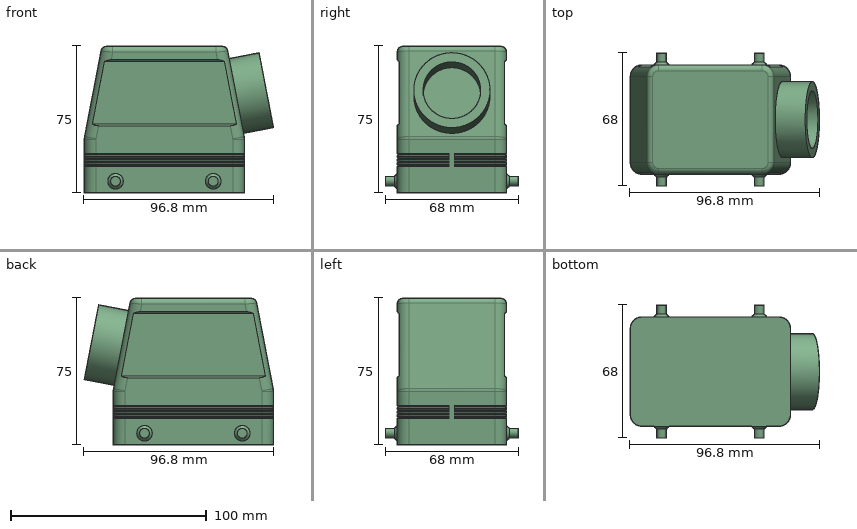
import cadquery as cq
import math

TOTAL_LENGTH = 96.8
HOOD_LENGTH = 82.0
HOOD_WIDTH = 55.9
HOOD_HEIGHT = 75.0
BREAK_HEIGHT = 28.1
END_WALL_LEAN = 10.9
CORNER_RADIUS = 6.0
BREAK_RADIUS = 8.0
TOP_RADIUS = 3.0

RECESS_BOTTOM = 34.35
RECESS_TOP = 68.1
RECESS_DEPTH = 1.0

GROOVE_COUNT = 4
GROOVE_PITCH = 1.8
GROOVE_WIDTH = 1.2
GROOVE_DEPTH = 0.5
TOP_GROOVE_HEIGHT = 19.5
GROOVE_GAP = 2.7

PIN_SPAN = 68.0
PIN_SPACING = 49.9
PIN_HEIGHT = 6.0
PIN_DIAMETER = 5.0
FOOT_DIAMETER = 7.9
FOOT_LENGTH = 1.45

OUTLET_DIAMETER = 39.0
BORE_DIAMETER = 29.4
OUTLET_FACE_HEIGHT = 52.5

LEAN = math.radians(END_WALL_LEAN)
SIDE_SIGNS = (-1, 1)


def wall_x(height):
    """X of the leaning +X wall at a height above the break line."""
    return HOOD_LENGTH / 2 - (height - BREAK_HEIGHT) * math.tan(LEAN)


def make_hood():
    base_x = HOOD_LENGTH / 2
    top_x = wall_x(HOOD_HEIGHT)
    profile = [
        (-base_x, 0),
        (base_x, 0),
        (base_x, BREAK_HEIGHT),
        (top_x, HOOD_HEIGHT),
        (-top_x, HOOD_HEIGHT),
        (-base_x, BREAK_HEIGHT),
    ]
    hood = cq.Workplane("XZ").polyline(profile).close().extrude(HOOD_WIDTH / 2, both=True)
    hood = hood.edges("|Y").edges("not (<Z or >Z)").fillet(BREAK_RADIUS)
    hood = hood.faces("<Y or >Y").edges("not |X").fillet(CORNER_RADIUS)
    return hood.faces(">Z").edges().fillet(TOP_RADIUS)


def make_recess(side):
    """Cutter for the recess on the -Y (side -1) or +Y (side 1) face."""
    outer_y = side * HOOD_WIDTH / 2
    inner_y = side * (HOOD_WIDTH / 2 - RECESS_DEPTH)
    profile = [
        (outer_y, RECESS_BOTTOM),
        (inner_y, RECESS_BOTTOM + RECESS_DEPTH),
        (inner_y, RECESS_TOP - RECESS_DEPTH),
        (outer_y, RECESS_TOP),
    ]
    return cq.Workplane("YZ").polyline(profile).close().extrude(HOOD_LENGTH / 2, both=True)


def base_outline(height):
    outline = cq.Sketch().rect(HOOD_LENGTH, HOOD_WIDTH).vertices().fillet(CORNER_RADIUS)
    return cq.Workplane("XY", origin=(0, 0, height)).placeSketch(outline)


def make_groove(height):
    """Ring cutter with a V section, centred at a height; it stops at the end-wall gaps."""
    half_width = GROOVE_WIDTH / 2
    flank_angle = math.degrees(math.atan2(GROOVE_DEPTH, half_width))
    ring = base_outline(height - half_width).extrude(GROOVE_WIDTH)
    core_below = base_outline(height - half_width).extrude(half_width, taper=flank_angle)
    core_above = core_below.mirror("XY", (0, 0, height))
    gap = cq.Workplane("XY", origin=(0, 0, height)).box(HOOD_LENGTH, GROOVE_GAP, GROOVE_WIDTH)
    return ring.cut(core_below).cut(core_above).cut(gap)


def make_pin(x, side):
    """Revolved pin with a conical foot, pointing along -Y (side -1) or +Y (side 1)."""
    wall_y = side * HOOD_WIDTH / 2
    foot_end_y = wall_y + side * FOOT_LENGTH
    profile = [
        (0, 0),
        (FOOT_DIAMETER / 2, 0),
        (FOOT_DIAMETER / 2, wall_y),
        (PIN_DIAMETER / 2, foot_end_y),
        (PIN_DIAMETER / 2, side * PIN_SPAN / 2),
        (0, side * PIN_SPAN / 2),
    ]
    section = cq.Workplane("XY").polyline(profile).close()
    return section.revolve(360, (0, 0), (0, 1)).translate((x, 0, PIN_HEIGHT))


def add_outlet(hood):
    """Add the tube on the +X wall; its bore ends at the plane of that wall."""
    radius = OUTLET_DIAMETER / 2
    face_x = TOTAL_LENGTH - HOOD_LENGTH / 2 - radius * math.sin(LEAN)
    tube_length = (face_x - wall_x(OUTLET_FACE_HEIGHT)) * math.cos(LEAN)
    open_end = cq.Plane(
        origin=(face_x, 0, OUTLET_FACE_HEIGHT),
        xDir=(0, 1, 0),
        normal=(math.cos(LEAN), 0, math.sin(LEAN)),
    )
    tube = cq.Workplane(open_end).circle(radius).extrude(-tube_length)
    bore = cq.Workplane(open_end).circle(BORE_DIAMETER / 2).extrude(-tube_length)
    return hood.union(tube).cut(bore)


result = make_hood()

for side in SIDE_SIGNS:
    result = result.cut(make_recess(side))

for index in range(GROOVE_COUNT):
    result = result.cut(make_groove(TOP_GROOVE_HEIGHT - index * GROOVE_PITCH))

for side in SIDE_SIGNS:
    for end in SIDE_SIGNS:
        result = result.union(make_pin(end * PIN_SPACING / 2, side))

result = add_outlet(result)